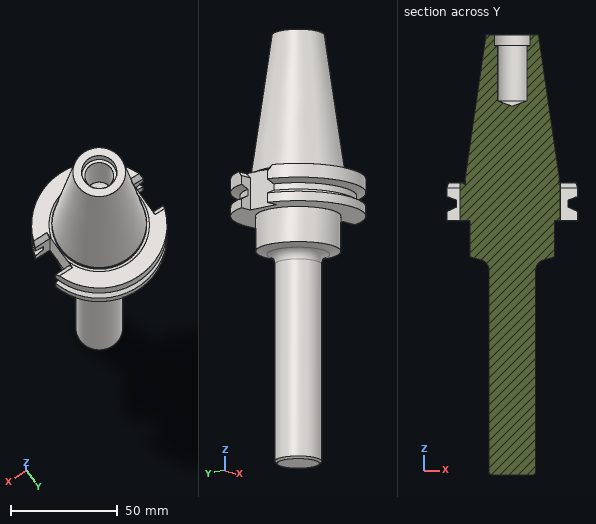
import cadquery as cq
import math

total_height = 206.2
taper_bottom = 138.2
flange_top = 137.0
flange_bottom = 119.0
hub_bottom = 102.0
stem_chamfer = 1.0

stem_radius = 22.0 / 2
hub_radius = 40.0 / 2
flange_radius = 63.5 / 2
neck_radius = 44.0 / 2
taper_large_radius = 22.3
taper_half_angle = math.atan(7 / 48)
taper_small_radius = taper_large_radius - (total_height - taper_bottom) * math.tan(taper_half_angle)

relief_radius = 23.5
relief_depth = 0.8

groove_radius = 27.5
groove_mouth_top = 130.4
groove_floor_top = 128.7
groove_floor_bottom = 125.6
groove_mouth_bottom = 123.5

shoulder_angle = math.radians(15)
shoulder_fillet = 5.0
shoulder_foot = hub_bottom - (hub_radius - stem_radius) * math.tan(shoulder_angle)
fillet_turn = math.pi / 2 - shoulder_angle
fillet_tangent = shoulder_fillet * math.tan(fillet_turn / 2)
fillet_center = (stem_radius + shoulder_fillet, shoulder_foot - fillet_tangent)

slot_width = 16.3
slot_chamfer = 2.5
slot_floor_left = 24.5
slot_floor_right = 22.5

counterbore_radius = 16.5 / 2
counterbore_depth = 5.2
bore_radius = 13.5 / 2
bore_depth = 31.0
drill_point_angle = math.radians(140)
drill_tip_depth = bore_depth + bore_radius / math.tan(drill_point_angle / 2)


def fillet_point(angle):
    """Point on the shoulder fillet; angle is measured up from the inward radial direction."""
    return (
        fillet_center[0] - shoulder_fillet * math.cos(angle),
        fillet_center[1] + shoulder_fillet * math.sin(angle),
    )


def revolve_profile(profile):
    """Turn a closed radius/height profile about the Z axis."""
    return profile.close().revolve(360, (0, 0, 0), (0, 1, 0))


def turned_body():
    profile = (
        cq.Workplane("XZ")
        .moveTo(0, 0)
        .lineTo(stem_radius - stem_chamfer, 0)
        .lineTo(stem_radius, stem_chamfer)
        .lineTo(*fillet_point(0))
        .threePointArc(fillet_point(fillet_turn / 2), fillet_point(fillet_turn))
        .lineTo(hub_radius, hub_bottom)
        .lineTo(hub_radius, flange_bottom)
        .lineTo(flange_radius, flange_bottom)
        .lineTo(flange_radius, groove_mouth_bottom)
        .lineTo(groove_radius, groove_floor_bottom)
        .lineTo(groove_radius, groove_floor_top)
        .lineTo(flange_radius, groove_mouth_top)
        .lineTo(flange_radius, flange_top)
        .lineTo(relief_radius, flange_top)
        .lineTo(neck_radius, flange_top - relief_depth)
        .lineTo(neck_radius, taper_bottom)
        .lineTo(taper_large_radius, taper_bottom)
        .lineTo(taper_small_radius, total_height)
        .lineTo(0, total_height)
    )
    return revolve_profile(profile)


def stepped_bore():
    profile = (
        cq.Workplane("XZ")
        .moveTo(0, total_height)
        .lineTo(counterbore_radius, total_height)
        .lineTo(counterbore_radius, total_height - counterbore_depth)
        .lineTo(bore_radius, total_height - counterbore_depth)
        .lineTo(bore_radius, total_height - bore_depth)
        .lineTo(0, total_height - drill_tip_depth)
    )
    return revolve_profile(profile)


def drive_slot(floor_distance, side):
    """Slot with chamfered upper edges, open outward; side is +1 for +X and -1 for -X."""
    half_width = slot_width / 2
    mouth_half_width = half_width + slot_chamfer
    return (
        cq.Workplane("YZ", origin=(side * floor_distance, 0, 0))
        .moveTo(-half_width, flange_bottom)
        .lineTo(half_width, flange_bottom)
        .lineTo(half_width, flange_top - slot_chamfer)
        .lineTo(mouth_half_width, flange_top)
        .lineTo(-mouth_half_width, flange_top)
        .lineTo(-half_width, flange_top - slot_chamfer)
        .close()
        .extrude(side * flange_radius)
    )


result = (
    turned_body()
    .cut(stepped_bore())
    .cut(drive_slot(slot_floor_left, -1))
    .cut(drive_slot(slot_floor_right, 1))
)